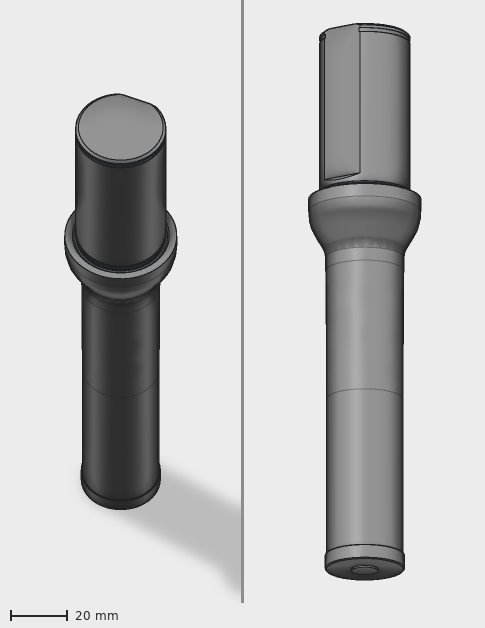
import cadquery as cq

total_height = 197.0
foot_height = 0.5
base_collar_top = 5.7
shaft_taper_bottom = 63.0
neck_bottom = 110.3
neck_top = 115.0
bulb_lower_height = 121.2
bulb_upper_height = 124.7
bulb_widest = 132.2
flange_top = 136.7

foot_radius = 4.7
shaft_radius = 27.2 / 2
neck_radius = 27.5 / 2
base_collar_radius = 28.0 / 2
base_chamfer = 0.4
flange_radius = 39.5 / 2
bulb_lower_radius = 16.2
bulb_upper_radius = 18.1

recess_depth = 0.5
recess_radius = 17.1
recess_floor_radius = 16.5

barrel_radius = 32.0 / 2
groove_radius = 31.5 / 2
top_chamfer_height = 0.8
top_chamfer_width = 1.0
top_groove_top = 195.2
top_groove_bottom = 193.8
lower_groove_top = 138.9
lower_groove_bottom = 138.3
foot_relief_top = 137.1
flat_offset = 14.0
flat_bottom = 141.8
flat_ramp_bottom = 140.3

recess_floor = flange_top - recess_depth


def make_holder():
    """Revolved holder: base collar, tapered shaft, neck, bulb and recessed flange."""
    bulb_points = [
        (bulb_lower_radius, bulb_lower_height),
        (bulb_upper_radius, bulb_upper_height),
        (flange_radius, bulb_widest),
    ]

    return (
        cq.Workplane("XZ")
        .moveTo(0, 0)
        .lineTo(foot_radius, 0)
        .lineTo(foot_radius, foot_height)
        .lineTo(base_collar_radius - base_chamfer, foot_height)
        .lineTo(base_collar_radius, foot_height + base_chamfer)
        .lineTo(base_collar_radius, base_collar_top)
        .lineTo(shaft_radius, base_collar_top)
        .lineTo(shaft_radius, shaft_taper_bottom)
        .lineTo(neck_radius, neck_bottom)
        .lineTo(neck_radius, neck_top)
        .spline(bulb_points, tangents=[(0, 1), (0, 1)], includeCurrent=True)
        .lineTo(flange_radius, flange_top)
        .lineTo(recess_radius, flange_top)
        .lineTo(recess_floor_radius, recess_floor)
        .lineTo(0, recess_floor)
        .close()
        .revolve(360, (0, 0, 0), (0, 1, 0))
    )


def cut_ring_groove(body, bottom, top):
    """Cut a shallow groove around the barrel."""
    ring = (
        cq.Workplane("XY", origin=(0, 0, bottom))
        .circle(flange_radius)
        .circle(groove_radius)
        .extrude(top - bottom)
    )
    return body.cut(ring)


def cut_flat(body):
    """Cut the flat on the +Y side; it ends in a ramp running out above the flange."""
    cutter = (
        cq.Workplane("YZ")
        .polyline(
            [
                (flat_offset, total_height),
                (flat_offset, flat_bottom),
                (barrel_radius, flat_ramp_bottom),
                (barrel_radius, total_height),
            ]
        )
        .close()
        .extrude(barrel_radius, both=True)
    )
    return body.cut(cutter)


def make_barrel():
    """Round barrel with a chamfered top, two ring grooves, a relief at its foot and one flat."""
    body = (
        cq.Workplane("XY", origin=(0, 0, recess_floor))
        .circle(barrel_radius)
        .extrude(total_height - recess_floor)
        .faces(">Z")
        .chamfer(top_chamfer_height, top_chamfer_width)
    )
    body = cut_ring_groove(body, top_groove_bottom, top_groove_top)
    body = cut_ring_groove(body, lower_groove_bottom, lower_groove_top)
    body = cut_ring_groove(body, recess_floor, foot_relief_top)
    return cut_flat(body)


holder = make_holder()
barrel = make_barrel()

result = cq.Compound.makeCompound([holder.val(), barrel.val()])